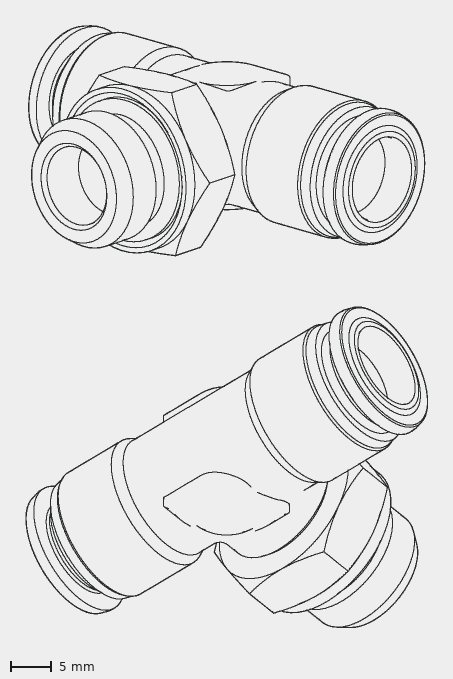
import cadquery as cq
import math


MARGIN = 0.05

RUN_HALF_LENGTH = 26.0
WAIST_RADIUS = 8.05
SLEEVE_RADIUS = 8.75
SLEEVE_CONE_START = 9.95
SLEEVE_START = 11.3
SLEEVE_END = 19.9
CAP_STEP = 0.3
CAP_INNER_RADIUS = 8.55
CAP_END_RADIUS = 8.25
CAP_END = 21.6
COLLAR_INNER_RADIUS = 7.2
COLLAR_END_RADIUS = 6.9
COLLAR_END = 22.7
COLLET_NECK_RADIUS = 6.1
COLLET_ROOT_RADIUS = 6.25
COLLET_ROOT_START = 23.6
FLANGE_RADIUS = 8.6
FLANGE_TAPER_END_RADIUS = 8.3
FLANGE_FACE_RADIUS = 8.1
FLANGE_START = 24.0
FLANGE_TAPER_START = 24.5
FLANGE_TAPER_END = 25.55
FLANGE_END = 25.7
LIP_BASE_RADIUS = 6.75
LIP_END_RADIUS = 6.1
TUBE_BORE_RADIUS = 5.25
TUBE_BORE_DEPTH = 4.3
TUBE_BORE_MOUTH_RADIUS = 5.4
TUBE_BORE_MOUTH_LENGTH = 0.5

BRANCH_RADIUS = WAIST_RADIUS
BRANCH_END = 10.45
BRANCH_CHAMFER = 0.6
CROTCH_FILLET = 1.4
SWIVEL_NECK_RADIUS = 6.55

PAD_LONG_REACH = 6.0
PAD_SHORT_REACH = 5.05
PAD_EDGE_RADIUS = 0.5
PAD_INNER_ARC_RADIUS = 4.9

HEX_ACROSS_FLATS = 21.0
HEX_SIDES = 6
HEX_FLAT_RADIUS = HEX_ACROSS_FLATS / 2
HEX_CORNER_RADIUS = HEX_FLAT_RADIUS / math.cos(math.pi / HEX_SIDES)
HEX_TURN = 1.8
HEX_START = 10.75
HEX_END = 17.2
HEX_CHAMFER_ANGLE = 30.0
STUD_FLANGE_END = 18.8
RECESS_RIM_RADIUS = 9.85
RECESS_FLOOR_RADIUS = 9.05
RELIEF_RADIUS = 7.2
RELIEF_END = 21.2
THREAD_RADIUS = 8.2
THREAD_START = 21.8
THREAD_TAPER_START = 25.95
STUD_TIP_RADIUS = 7.1
STUD_END = 27.8
STUD_BORE_RADIUS = 5.0
STUD_BORE_CHAMFER = 0.5
STUD_BORE_DEPTH = 6.25

O_RING_SECTION_RADIUS = 0.95
O_RING_RADIUS = RELIEF_RADIUS + O_RING_SECTION_RADIUS
RECESS_FLOOR = STUD_FLANGE_END - O_RING_SECTION_RADIUS


def turn_about_x(profile):
    """Revolve closed (x, radius) points about the X axis."""
    return cq.Workplane("XY").polyline(profile).close().revolve(360, (0, 0), (1, 0))


def turn_about_branch(profile):
    """Revolve closed (radius, distance) points about the branch axis."""
    points = [(radius, -distance) for radius, distance in profile]
    return cq.Workplane("XY").polyline(points).close().revolve(360, (0, 0), (0, 1))


def tee_core():
    """Run waist and branch with a rounded crotch between them."""
    waist = cq.Workplane("YZ").circle(WAIST_RADIUS).extrude(SLEEVE_START, both=True)
    branch = cq.Workplane("XZ").circle(BRANCH_RADIUS).extrude(BRANCH_END)
    reach = WAIST_RADIUS + MARGIN
    crotch = cq.selectors.BoxSelector((-reach, -reach, -reach), (reach, -MARGIN, reach))
    core = waist.union(branch).edges(crotch).fillet(CROTCH_FILLET)
    return core.faces("<Y").chamfer(BRANCH_CHAMFER)


def tube_port():
    """Sleeve, cap and release collet on the +X end of the run."""
    return turn_about_x([
        (0, 0),
        (0, WAIST_RADIUS),
        (SLEEVE_CONE_START, WAIST_RADIUS),
        (SLEEVE_START, SLEEVE_RADIUS),
        (SLEEVE_END, SLEEVE_RADIUS),
        (SLEEVE_END + CAP_STEP, CAP_INNER_RADIUS),
        (CAP_END, CAP_END_RADIUS),
        (CAP_END, COLLAR_INNER_RADIUS),
        (COLLAR_END, COLLAR_END_RADIUS),
        (COLLAR_END, COLLET_NECK_RADIUS),
        (COLLET_ROOT_START, COLLET_NECK_RADIUS),
        (FLANGE_START, COLLET_ROOT_RADIUS),
        (FLANGE_START, FLANGE_RADIUS),
        (FLANGE_TAPER_START, FLANGE_RADIUS),
        (FLANGE_TAPER_END, FLANGE_TAPER_END_RADIUS),
        (FLANGE_END, FLANGE_FACE_RADIUS),
        (FLANGE_END, LIP_BASE_RADIUS),
        (RUN_HALF_LENGTH, LIP_END_RADIUS),
        (RUN_HALF_LENGTH, TUBE_BORE_MOUTH_RADIUS),
        (RUN_HALF_LENGTH - TUBE_BORE_MOUTH_LENGTH, TUBE_BORE_RADIUS),
        (RUN_HALF_LENGTH - TUBE_BORE_DEPTH, TUBE_BORE_RADIUS),
        (RUN_HALF_LENGTH - TUBE_BORE_DEPTH, 0),
    ])


def tee_pads():
    """Leaf-shaped prism whose two flat ends stand above and below the tee."""
    diagonal = math.sqrt(0.5)
    outer_arc_middle = PAD_SHORT_REACH * diagonal
    inner_arc_middle = PAD_INNER_ARC_RADIUS * diagonal
    leaf = (
        cq.Workplane("XY")
        .moveTo(0, PAD_SHORT_REACH)
        .lineTo(PAD_LONG_REACH, PAD_SHORT_REACH)
        .lineTo(PAD_LONG_REACH, 0)
        .lineTo(PAD_INNER_ARC_RADIUS, 0)
        .threePointArc((inner_arc_middle, -inner_arc_middle), (0, -PAD_INNER_ARC_RADIUS))
        .lineTo(0, -PAD_LONG_REACH)
        .lineTo(-PAD_SHORT_REACH, -PAD_LONG_REACH)
        .lineTo(-PAD_SHORT_REACH, 0)
        .threePointArc((-outer_arc_middle, outer_arc_middle), (0, PAD_SHORT_REACH))
        .close()
        .extrude(WAIST_RADIUS, both=True)
    )
    reach = WAIST_RADIUS + MARGIN
    right_and_back = cq.selectors.BoxSelector((0, MARGIN, -reach), (reach, reach, reach))
    left_and_front = cq.selectors.BoxSelector((-reach, -reach, -reach), (-MARGIN, reach, reach))
    rounded_sides = right_and_back + left_and_front
    return leaf.faces("|Z").edges(rounded_sides).fillet(PAD_EDGE_RADIUS)


def hexagon():
    """Wrench hexagon, chamfered at both ends by one cone each."""
    length = HEX_END - HEX_START
    slope = math.tan(math.radians(HEX_CHAMFER_ANGLE))
    drop = (HEX_CORNER_RADIUS - HEX_FLAT_RADIUS) * slope
    prism = (
        cq.Workplane("XZ", origin=(0, -HEX_START, 0))
        .polygon(HEX_SIDES, 2 * HEX_CORNER_RADIUS)
        .extrude(length)
        .rotate((0, 0, 0), (0, 1, 0), -HEX_TURN)
    )
    envelope = turn_about_branch([
        (0, HEX_START),
        (HEX_FLAT_RADIUS, HEX_START),
        (HEX_CORNER_RADIUS, HEX_START + drop),
        (HEX_CORNER_RADIUS, HEX_END - drop),
        (HEX_FLAT_RADIUS, HEX_END),
        (0, HEX_END),
    ])
    return prism.intersect(envelope)


def threaded_stud():
    """Swivel neck, sealing flange with its O-ring recess, relief and thread."""
    return turn_about_branch([
        (0, 0),
        (SWIVEL_NECK_RADIUS, 0),
        (SWIVEL_NECK_RADIUS, HEX_END),
        (HEX_FLAT_RADIUS, HEX_END),
        (HEX_FLAT_RADIUS, STUD_FLANGE_END),
        (RECESS_RIM_RADIUS, STUD_FLANGE_END),
        (RECESS_FLOOR_RADIUS, RECESS_FLOOR),
        (RELIEF_RADIUS, RECESS_FLOOR),
        (RELIEF_RADIUS, RELIEF_END),
        (THREAD_RADIUS, THREAD_START),
        (THREAD_RADIUS, THREAD_TAPER_START),
        (STUD_TIP_RADIUS, STUD_END),
        (STUD_BORE_RADIUS + STUD_BORE_CHAMFER, STUD_END),
        (STUD_BORE_RADIUS, STUD_END - STUD_BORE_CHAMFER),
        (STUD_BORE_RADIUS, STUD_END - STUD_BORE_DEPTH),
        (0, STUD_END - STUD_BORE_DEPTH),
    ])


def fitting_body():
    """One solid of tee, both tube ports, hexagon and threaded stud."""
    port = tube_port()
    return (
        tee_core()
        .union(tee_pads())
        .union(port)
        .union(port.mirror("YZ"))
        .union(hexagon())
        .union(threaded_stud())
    )


def sealing_ring():
    """O-ring seated on the recess floor around the relief."""
    return (
        cq.Workplane("XY")
        .center(O_RING_RADIUS, -STUD_FLANGE_END)
        .circle(O_RING_SECTION_RADIUS)
        .revolve(360, (-O_RING_RADIUS, 0), (-O_RING_RADIUS, 1))
    )


fitting = fitting_body()
o_ring = sealing_ring()

result = cq.Compound.makeCompound([fitting.val(), o_ring.val()])